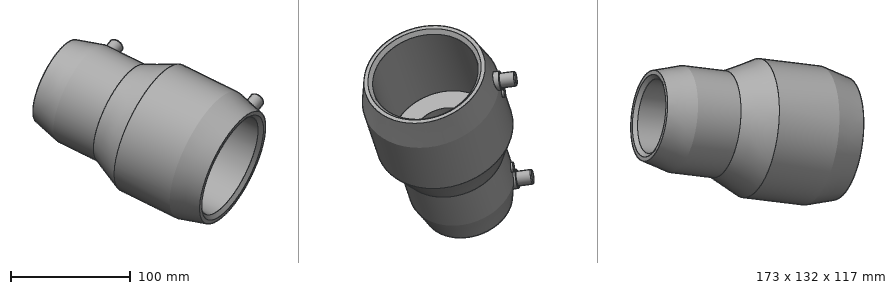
import cadquery as cq
import math


total_length = 173.0
end_taper_length = 25.0
neck_start = 64.0
neck_end = 93.0

small_outer_radius = 45.0
large_outer_radius = 58.5
end_taper_angle = 15.0
end_taper_drop = end_taper_length * math.tan(math.radians(end_taper_angle))

small_bore_radius = 31.4
large_bore_radius = 45.0
throat_radius = 27.0
mouth_chamfer = 3.3

stud_distance = 21.4
stud_radius = 6.25
stud_height = 13.0
stud_chamfer = 1.0
collar_radius = 8.2
collar_rise = 2.0
collar_chamfer = 0.4
button_distance = 37.1
button_radius = 4.2
button_rise = 2.0
root_depth = 6.5


def body():
    """Revolved wall: outer contour first, then back along the bore."""
    profile = [
        (0, small_outer_radius - end_taper_drop),
        (end_taper_length, small_outer_radius),
        (neck_start, small_outer_radius),
        (neck_end, large_outer_radius),
        (total_length - end_taper_length, large_outer_radius),
        (total_length, large_outer_radius - end_taper_drop),
        (total_length, large_bore_radius + mouth_chamfer),
        (total_length - mouth_chamfer, large_bore_radius),
        (neck_end, large_bore_radius),
        (neck_end, throat_radius),
        (neck_start, throat_radius),
        (neck_start, small_bore_radius),
        (mouth_chamfer, small_bore_radius),
        (0, small_bore_radius + mouth_chamfer),
    ]
    return cq.Workplane("XY").polyline(profile).close().revolve(360, (0, 0, 0), (1, 0, 0))


def post(x, radius, base_y, top_y, chamfer=0):
    """Round post along +Y, with an optional chamfer on its top edge."""
    start = cq.Vector(x, base_y, 0)
    cylinder = cq.Solid.makeCylinder(radius, top_y - base_y, start, cq.Vector(0, 1, 0))
    shape = cq.Workplane(obj=cylinder)
    if chamfer:
        shape = shape.faces(">Y").edges().chamfer(chamfer)
    return shape


def terminal(end_x, inward, barrel_radius):
    """Collar, stud and button of one socket; inward is the X sign pointing into the part."""
    base_y = barrel_radius - root_depth
    collar_top = barrel_radius + collar_rise
    stud_x = end_x + inward * stud_distance
    button_x = end_x + inward * button_distance
    collar = post(stud_x, collar_radius, base_y, collar_top, collar_chamfer)
    stud = post(stud_x, stud_radius, base_y, collar_top + stud_height, stud_chamfer)
    button = post(button_x, button_radius, base_y, barrel_radius + button_rise)
    return collar.union(stud).union(button)


result = (
    body()
    .union(terminal(0, 1, small_outer_radius))
    .union(terminal(total_length, -1, large_outer_radius))
)